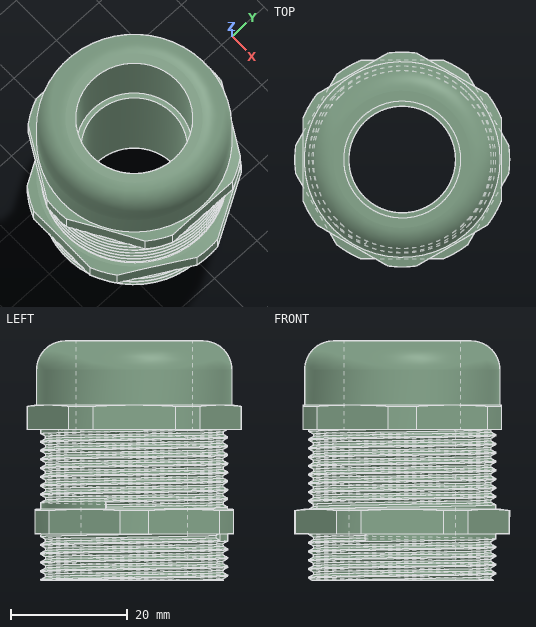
import cadquery as cq
import math

total_height = 41.0
locknut_bottom = 7.95
cap_bottom = 25.8
hex_height = 4.22
cap_top_rounding = 5.0

cap_diameter = 33.5
entry_bore_diameter = 20.0
through_bore_diameter = 18.2

across_flats = 34.05
across_corners = 36.8
hex_chamfer_height = 0.25

thread_diameter = 32.02
thread_pitch = 1.5
thread_depth = 0.78
crest_width = 0.19
flank_angle = 30.0
cutter_overlap = 0.12

lower_groove_end_z = 7.45
lower_groove_end_angle = 246.6
lower_groove_turns = 6.0

upper_groove_start_z = 12.75
upper_groove_start_angle = 162.0
upper_groove_turns = 8.7


def cylinder(diameter, bottom, height):
    return cq.Workplane("XY").workplane(offset=bottom).circle(diameter / 2).extrude(height)


def thread_groove(start_z, start_angle, turns):
    """Right-handed groove cutter, starting at the given height and angle about Z."""
    crest_radius = thread_diameter / 2
    root_radius = crest_radius - thread_depth
    outer_radius = crest_radius + cutter_overlap
    flank_slope = math.tan(math.radians(flank_angle))
    crest_half_width = (thread_pitch - crest_width) / 2
    outer_half_width = crest_half_width + cutter_overlap * flank_slope
    root_half_width = crest_half_width - thread_depth * flank_slope
    helix = cq.Wire.makeHelix(thread_pitch, turns * thread_pitch, crest_radius)
    groove = (
        cq.Workplane("XZ")
        .moveTo(root_radius, -root_half_width)
        .lineTo(outer_radius, -outer_half_width)
        .lineTo(outer_radius, outer_half_width)
        .lineTo(root_radius, root_half_width)
        .close()
        .sweep(cq.Workplane(helix), isFrenet=True)
    )
    return groove.rotate((0, 0, 0), (0, 0, 1), start_angle).translate((0, 0, start_z))


def rounded_hex(bottom, corner_angle):
    """Hexagon with its corners turned to a circle and its upper corners chamfered."""
    circumscribed_diameter = across_flats / math.cos(math.pi / 6)
    prism = (
        cq.Workplane("XY")
        .polygon(6, circumscribed_diameter)
        .extrude(hex_height)
        .rotate((0, 0, 0), (0, 0, 1), corner_angle)
    )
    chamfer_width = (across_corners - cap_diameter) / 2
    blank = (
        cylinder(across_corners, 0, hex_height)
        .faces(">Z")
        .chamfer(hex_chamfer_height, chamfer_width)
    )
    return prism.intersect(blank).translate((0, 0, bottom))


body = cylinder(thread_diameter, 0, cap_bottom + hex_height)
lower_groove_start_z = lower_groove_end_z - lower_groove_turns * thread_pitch
lower_groove_start_angle = lower_groove_end_angle - lower_groove_turns * 360
body = body.cut(thread_groove(lower_groove_start_z, lower_groove_start_angle, lower_groove_turns))
body = body.cut(thread_groove(upper_groove_start_z, upper_groove_start_angle, upper_groove_turns))

locknut = rounded_hex(locknut_bottom, corner_angle=0)
cap_hex = rounded_hex(cap_bottom, corner_angle=90)

dome = (
    cylinder(cap_diameter, cap_bottom, total_height - cap_bottom)
    .faces(">Z")
    .edges()
    .fillet(cap_top_rounding)
)

through_bore = cylinder(through_bore_diameter, 0, total_height)
entry_bore = cylinder(entry_bore_diameter, cap_bottom, total_height - cap_bottom)

result = body.union(locknut).union(cap_hex).union(dome).cut(through_bore).cut(entry_bore)